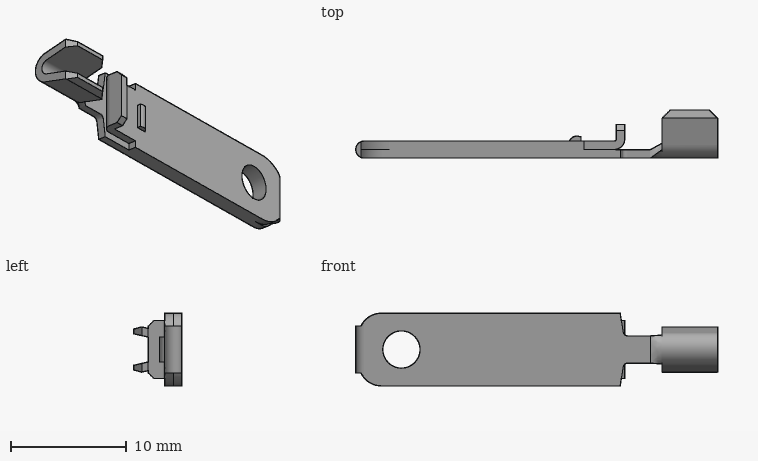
import cadquery as cq
import math


thickness = 0.75
folded_thickness = 2 * thickness
length = 31.34
half_width = 6.32 / 2

fold_half_width = 2.05
fold_radius = thickness

hole_x = 3.96
hole_diameter = 3.2

front_corner_end_x = 2.25
front_corner_radius = 2.0
front_end_x = 22.9
shoulder_slope = 0.3
shoulder_fillet = 0.4
neck_half_width = 1.19
neck_end_x = 25.5

back_corner_end_x = 2.9
back_corner_radius = 3.26
back_step_x = 19.75
tab_half_width = 2.52
tab_end_x = 23.29
tab_height = 2.92
tab_chamfer = 0.5
bend_inner_radius = 0.15

barb_start_x = 18.5
barb_crest_x = 19.2
barb_end_x = 19.5
barb_height = 0.43
barb_end_height = 0.36
barb_half_width = 1.1
barb_ramp_run = 0.28
barb_ramp_rise = 0.32

barrel_start_x = 26.5
barrel_height = 4.19
barrel_radius = 1.46
wing_start_angle = math.radians(77)
wing_bevel_y = 3.5
wing_bevel_inset = 0.2
wing_corner_chamfer = 0.75

transition_outer_angle = math.radians(60)
transition_inner_angle = math.radians(77)


def mirrored_sheet(upper_half, start_y):
    """One sheet: half outline drawn in X-Z, mirrored about Z = 0."""
    half = upper_half.close().extrude(-thickness).translate((0, start_y, 0))
    return half.union(half.mirror("XY"))


def rounded_end_outline(end_x, radius):
    """Half outline from the fold edge along a corner arc that meets the long edge at end_x."""
    center_z = half_width - radius
    start_x = end_x - math.sqrt(radius**2 - (fold_half_width - center_z) ** 2)
    middle_x = (start_x + end_x) / 2
    middle_z = center_z + math.sqrt(radius**2 - (end_x - middle_x) ** 2)
    return (
        cq.Workplane("XZ")
        .lineTo(0, fold_half_width)
        .lineTo(start_x, fold_half_width)
        .threePointArc((middle_x, middle_z), (end_x, half_width))
    )


def make_front_sheet():
    shoulder_x = front_end_x + shoulder_slope
    outline = (
        rounded_end_outline(front_corner_end_x, front_corner_radius)
        .lineTo(front_end_x, half_width)
        .lineTo(shoulder_x, neck_half_width)
        .lineTo(neck_end_x, neck_half_width)
        .lineTo(neck_end_x, 0)
    )
    margin = 0.01
    shoulders = cq.selectors.BoxSelector(
        (shoulder_x - margin, -margin, -neck_half_width - margin),
        (shoulder_x + margin, thickness + margin, neck_half_width + margin),
    )
    return mirrored_sheet(outline, 0).edges("|Y").edges(shoulders).fillet(shoulder_fillet)


def make_back_sheet():
    bend_x = tab_end_x - thickness - bend_inner_radius
    outline = (
        rounded_end_outline(back_corner_end_x, back_corner_radius)
        .lineTo(back_step_x, half_width)
        .lineTo(back_step_x, tab_half_width)
        .lineTo(bend_x, tab_half_width)
        .lineTo(bend_x, 0)
    )
    return mirrored_sheet(outline, thickness)


def make_fold_envelope():
    """Side profile of the folded strip: straight, with a full round at the fold."""
    return (
        cq.Workplane("XY")
        .moveTo(fold_radius, 0)
        .threePointArc((0, thickness), (fold_radius, folded_thickness))
        .lineTo(length, folded_thickness)
        .lineTo(length, 0)
        .close()
        .extrude(half_width, both=True)
    )


def make_tab():
    outer_radius = bend_inner_radius + thickness
    bend_x = tab_end_x - outer_radius
    bend_y = thickness + outer_radius
    diagonal = math.sqrt(0.5)
    return (
        cq.Workplane("XY")
        .moveTo(bend_x, thickness)
        .threePointArc(
            (bend_x + outer_radius * diagonal, bend_y - outer_radius * diagonal),
            (tab_end_x, bend_y),
        )
        .lineTo(tab_end_x, tab_height)
        .lineTo(tab_end_x - thickness, tab_height)
        .lineTo(tab_end_x - thickness, bend_y)
        .threePointArc(
            (bend_x + bend_inner_radius * diagonal, bend_y - bend_inner_radius * diagonal),
            (bend_x, folded_thickness),
        )
        .close()
        .extrude(tab_half_width, both=True)
        .faces(">Y")
        .edges("|X")
        .chamfer(tab_chamfer)
    )


def make_barb():
    ramp_x = barb_start_x + barb_ramp_run
    ramp_y = folded_thickness + barb_ramp_rise
    return (
        cq.Workplane("XY")
        .moveTo(barb_start_x, folded_thickness)
        .threePointArc((ramp_x, ramp_y), (barb_crest_x, folded_thickness + barb_height))
        .lineTo(barb_end_x, folded_thickness + barb_end_height)
        .lineTo(barb_end_x, folded_thickness)
        .close()
        .extrude(barb_half_width, both=True)
    )


def trough_point(radius, angle):
    """Point (Y, Z) on a round trough, at an angle from its bottom."""
    return (barrel_radius - radius * math.cos(angle), radius * math.sin(angle))


def wing_point(radius, y, side):
    """Point (Y, Z) at height y on the straight wing that leaves the trough."""
    tangent_y, tangent_z = trough_point(radius, wing_start_angle)
    return (y, side * (tangent_z + (y - tangent_y) / math.tan(wing_start_angle)))


def make_barrel():
    inner_radius = barrel_radius - thickness
    bevel_z = wing_point(barrel_radius, wing_bevel_y, 1)[1]
    tip_z = bevel_z - wing_bevel_inset
    barrel = (
        cq.Workplane("YZ", origin=(barrel_start_x, 0, 0))
        .moveTo(*trough_point(barrel_radius, -wing_start_angle))
        .threePointArc((0, 0), trough_point(barrel_radius, wing_start_angle))
        .lineTo(wing_bevel_y, bevel_z)
        .lineTo(barrel_height, tip_z)
        .lineTo(*wing_point(inner_radius, barrel_height, 1))
        .lineTo(*trough_point(inner_radius, wing_start_angle))
        .threePointArc((thickness, 0), trough_point(inner_radius, -wing_start_angle))
        .lineTo(*wing_point(inner_radius, barrel_height, -1))
        .lineTo(barrel_height, -tip_z)
        .lineTo(wing_bevel_y, -bevel_z)
        .close()
        .extrude(length - barrel_start_x)
    )
    return barrel.faces(">Y").edges("|Z").chamfer(wing_corner_chamfer)


def make_transition():
    """Ruled blend from the flat neck into the round trough of the barrel."""
    inner_radius = barrel_radius - thickness
    return (
        cq.Workplane("YZ", origin=(neck_end_x, 0, 0))
        .moveTo(0, -neck_half_width)
        .lineTo(0, neck_half_width)
        .lineTo(thickness, neck_half_width)
        .lineTo(thickness, -neck_half_width)
        .close()
        .workplane(offset=barrel_start_x - neck_end_x)
        .moveTo(*trough_point(barrel_radius, -transition_outer_angle))
        .threePointArc((0, 0), trough_point(barrel_radius, transition_outer_angle))
        .lineTo(*trough_point(inner_radius, transition_inner_angle))
        .threePointArc((thickness, 0), trough_point(inner_radius, -transition_inner_angle))
        .close()
        .loft(ruled=True)
    )


def make_hole():
    return (
        cq.Workplane("XZ")
        .center(hole_x, 0)
        .circle(hole_diameter / 2)
        .extrude(-folded_thickness)
    )


fold_envelope = make_fold_envelope()
front_half = (
    make_front_sheet()
    .intersect(fold_envelope)
    .union(make_transition())
    .union(make_barrel())
)
back_half = (
    make_back_sheet()
    .intersect(fold_envelope)
    .union(make_tab())
    .union(make_barb())
)

result = front_half.union(back_half, clean=False).cut(make_hole(), clean=False)